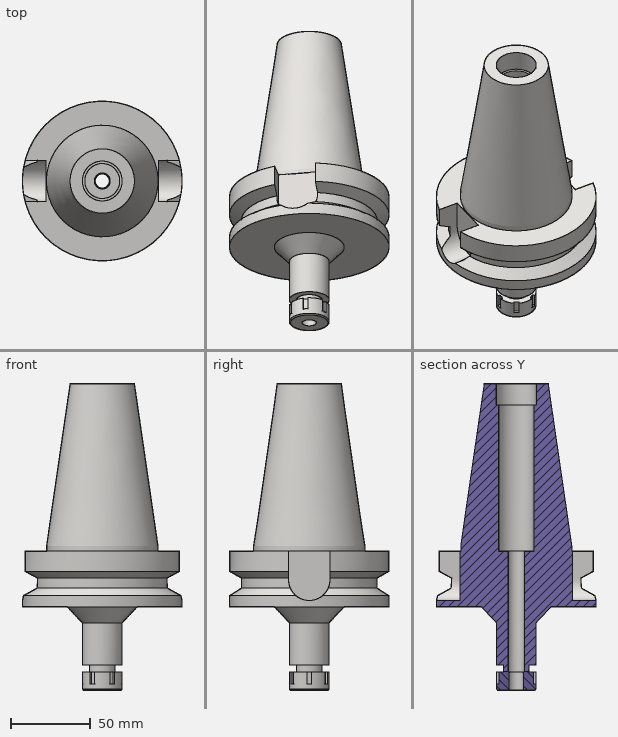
import cadquery as cq

NUT_TOP = 11.5
SHANK_BOTTOM = 15.7
SHANK_TOP = 42.2
FLANGE_BOTTOM = 52.2
GROOVE_BOTTOM = 59.3
GROOVE_ROOT_BOTTOM = 63.9
GROOVE_ROOT_TOP = 70.2
GROOVE_TOP = 74.5
FLANGE_TOP = 87.0
TAPER_BOTTOM = 90.1
TOTAL_HEIGHT = 191.8

NECK_RADIUS = 8.0
SHANK_RADIUS = 12.5
SHANK_CONE_RADIUS = 21.9
FLANGE_RADIUS = 100.0 / 2
GROOVE_ROOT_RADIUS = 42.5
TAPER_LARGE_RADIUS = 35.0
TAPER_SMALL_RADIUS = 20.1

COUNTERBORE_RADIUS = 12.5
COUNTERBORE_DEPTH = 13.2
DRAWBAR_BORE_RADIUS = 11.0
DRAWBAR_BORE_BOTTOM = FLANGE_TOP
THROUGH_BORE_RADIUS = 5.0

DRIVE_SLOT_WIDTH = 25.9
DRIVE_SLOT_FLOOR_X = 35.3
DRIVE_SLOT_BOTTOM = 56.2

NUT_RADIUS = SHANK_RADIUS
NUT_BORE_RADIUS = 4.5
NUT_CHAMFER = 0.8
NUT_SLOT_COUNT = 6
NUT_SLOT_WIDTH = 3.0
NUT_SLOT_DEPTH = 1.5
NUT_SLOT_BOTTOM = 4.0


def cylinder(radius, bottom, top):
    """Vertical cylinder on the Z axis between two heights."""
    return cq.Workplane("XY").workplane(offset=bottom).circle(radius).extrude(top - bottom)


def revolved_holder():
    """Neck, shank, grooved flange and taper as one turned solid."""
    profile = [
        (0, NUT_TOP),
        (NECK_RADIUS, NUT_TOP),
        (NECK_RADIUS, SHANK_BOTTOM),
        (SHANK_RADIUS, SHANK_BOTTOM),
        (SHANK_RADIUS, SHANK_TOP),
        (SHANK_CONE_RADIUS, FLANGE_BOTTOM),
        (FLANGE_RADIUS, FLANGE_BOTTOM),
        (FLANGE_RADIUS, GROOVE_BOTTOM),
        (GROOVE_ROOT_RADIUS, GROOVE_ROOT_BOTTOM),
        (GROOVE_ROOT_RADIUS, GROOVE_ROOT_TOP),
        (FLANGE_RADIUS, GROOVE_TOP),
        (FLANGE_RADIUS, FLANGE_TOP),
        (TAPER_LARGE_RADIUS, FLANGE_TOP),
        (TAPER_LARGE_RADIUS, TAPER_BOTTOM),
        (TAPER_SMALL_RADIUS, TOTAL_HEIGHT),
        (0, TOTAL_HEIGHT),
    ]
    return cq.Workplane("XZ").polyline(profile).close().revolve(360, (0, 0), (0, 1))


def drive_slot(side):
    """Round-bottomed slot cutter; side is +1 or -1 along X."""
    half_width = DRIVE_SLOT_WIDTH / 2
    arc_center_z = DRIVE_SLOT_BOTTOM + half_width
    return (
        cq.Workplane("YZ")
        .workplane(offset=side * DRIVE_SLOT_FLOOR_X)
        .moveTo(-half_width, FLANGE_TOP)
        .lineTo(-half_width, arc_center_z)
        .threePointArc((0, DRIVE_SLOT_BOTTOM), (half_width, arc_center_z))
        .lineTo(half_width, FLANGE_TOP)
        .close()
        .extrude(side * (FLANGE_RADIUS - DRIVE_SLOT_FLOOR_X))
    )


def make_holder():
    """Tool holder with its stepped axial bore and two drive slots."""
    holder = revolved_holder()
    holder = holder.cut(cylinder(COUNTERBORE_RADIUS, TOTAL_HEIGHT - COUNTERBORE_DEPTH, TOTAL_HEIGHT))
    holder = holder.cut(cylinder(DRAWBAR_BORE_RADIUS, DRAWBAR_BORE_BOTTOM, TOTAL_HEIGHT))
    holder = holder.cut(cylinder(THROUGH_BORE_RADIUS, NUT_TOP, TOTAL_HEIGHT))
    for side in (-1, 1):
        holder = holder.cut(drive_slot(side))
    return holder


def make_nut():
    """Clamping nut seated against the neck, with wrench slots open at its top."""
    nut = cylinder(NUT_RADIUS, 0, NUT_TOP).faces("<Z").edges().chamfer(NUT_CHAMFER)
    nut = nut.cut(cylinder(NUT_BORE_RADIUS, 0, NUT_TOP))
    slot = (
        cq.Workplane("XY")
        .workplane(offset=NUT_SLOT_BOTTOM)
        .center(NUT_RADIUS, 0)
        .rect(2 * NUT_SLOT_DEPTH, NUT_SLOT_WIDTH)
        .extrude(NUT_TOP - NUT_SLOT_BOTTOM)
    )
    for index in range(NUT_SLOT_COUNT):
        nut = nut.cut(slot.rotate((0, 0, 0), (0, 0, 1), index * 360 / NUT_SLOT_COUNT))
    return nut


holder = make_holder()
nut = make_nut()

result = cq.Compound.makeCompound([holder.val(), nut.val()])